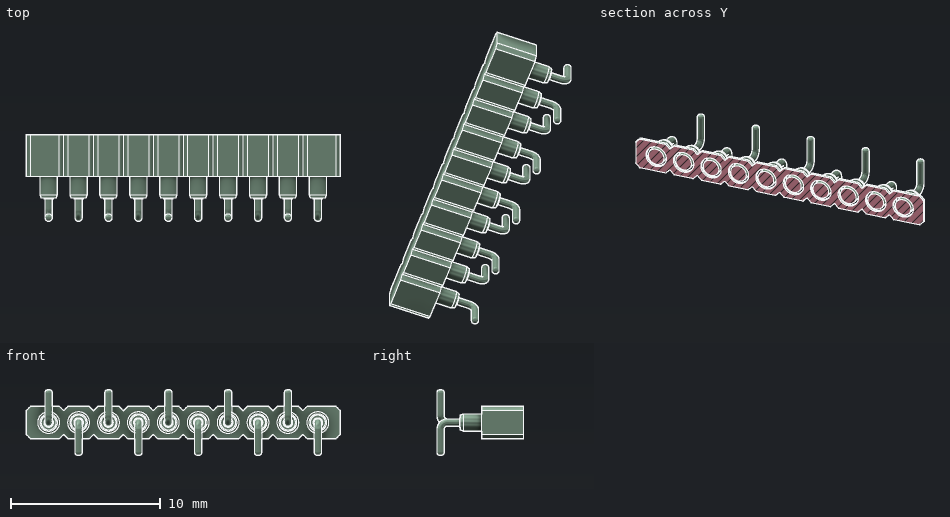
import cadquery as cq

PIN_COUNT = 10
PITCH = 2.0
END_MARGIN = 1.5

HOUSING_LENGTH = (PIN_COUNT - 1) * PITCH + 2 * END_MARGIN
HOUSING_DEPTH = 2.8
HOUSING_HEIGHT = 2.2
CORNER_CHAMFER = 0.3

SEAT_DIAMETER = 1.45
SEAT_DEPTH = 0.3

SLEEVE_DIAMETER = 1.17
SLEEVE_PROJECTION = 1.45
TAPER_LENGTH = 0.23
TAPER_END_DIAMETER = 1.0
COLLAR_DIAMETER = 0.64
COLLAR_LENGTH = 0.05

TAIL_DIAMETER = 0.5
TAIL_PROJECTION = 3.0
TAIL_REACH = 2.2
BEND_RADIUS = 0.45
TIP_ROUND = 0.2

FRONT_FACE = -HOUSING_DEPTH / 2
SEAT_FLOOR = FRONT_FACE + SEAT_DEPTH
SLEEVE_END = FRONT_FACE - SLEEVE_PROJECTION
LEG_AXIS = FRONT_FACE - TAIL_PROJECTION + TAIL_DIAMETER / 2
BEND_START = LEG_AXIS + BEND_RADIUS

PIN_XS = [(i - (PIN_COUNT - 1) / 2) * PITCH for i in range(PIN_COUNT)]


def cylinder_along_y(diameter, x, y_start, y_end):
    """Cylinder on the pin axis at x, running towards -Y from y_start to y_end."""
    plane = cq.Plane(origin=(x, y_start, 0), xDir=(1, 0, 0), normal=(0, -1, 0))
    return cq.Workplane(plane).circle(diameter / 2).extrude(y_start - y_end)


def make_housing():
    """Chamfered bar with V notches between neighbouring pins and a seat at each pin."""
    housing = cq.Workplane("XY").box(HOUSING_LENGTH, HOUSING_DEPTH, HOUSING_HEIGHT)
    housing = housing.edges("|Y").chamfer(CORNER_CHAMFER)
    notch_xs = [x + PITCH / 2 for x in PIN_XS[:-1]]
    notch_points = [(x, side * HOUSING_HEIGHT / 2) for x in notch_xs for side in (-1, 1)]
    notches = (
        cq.Workplane("XZ")
        .pushPoints(notch_points)
        .polygon(4, 2 * CORNER_CHAMFER)
        .extrude(HOUSING_DEPTH / 2, both=True)
    )
    housing = housing.cut(notches)
    for x in PIN_XS:
        housing = housing.cut(cylinder_along_y(SEAT_DIAMETER, x, SEAT_FLOOR, FRONT_FACE))
    return housing


def make_sleeve(x):
    """Round sleeve standing on the seat floor, with a tapered outer end and a collar."""
    sleeve = cylinder_along_y(SLEEVE_DIAMETER, x, SEAT_FLOOR, SLEEVE_END)
    taper_depth = (SLEEVE_DIAMETER - TAPER_END_DIAMETER) / 2
    sleeve = sleeve.faces("<Y").edges().chamfer(TAPER_LENGTH, taper_depth)
    collar = cylinder_along_y(COLLAR_DIAMETER, x, SEAT_FLOOR, SLEEVE_END - COLLAR_LENGTH)
    return sleeve.union(collar)


def make_tail(x, direction):
    """Wire leaving the sleeve and bent to +Z (direction 1) or -Z (direction -1)."""
    straight = cylinder_along_y(TAIL_DIAMETER, x, SEAT_FLOOR, BEND_START)
    bend_section = cq.Plane(origin=(x, BEND_START, 0), xDir=(1, 0, 0), normal=(0, -1, 0))
    bend_height = direction * BEND_RADIUS
    bend = (
        cq.Workplane(bend_section)
        .circle(TAIL_DIAMETER / 2)
        .revolve(90, (0, bend_height), (-direction, bend_height))
    )
    leg = (
        cq.Workplane("XY", origin=(x, LEG_AXIS, bend_height))
        .circle(TAIL_DIAMETER / 2)
        .extrude(direction * (TAIL_REACH - BEND_RADIUS))
    )
    tip = ">Z" if direction > 0 else "<Z"
    leg = leg.faces(tip).edges().fillet(TIP_ROUND)
    return straight.union(bend).union(leg)


result = make_housing()
for index, pin_x in enumerate(PIN_XS):
    tail_direction = 1 if index % 2 == 0 else -1
    result = result.union(make_sleeve(pin_x)).union(make_tail(pin_x, tail_direction))